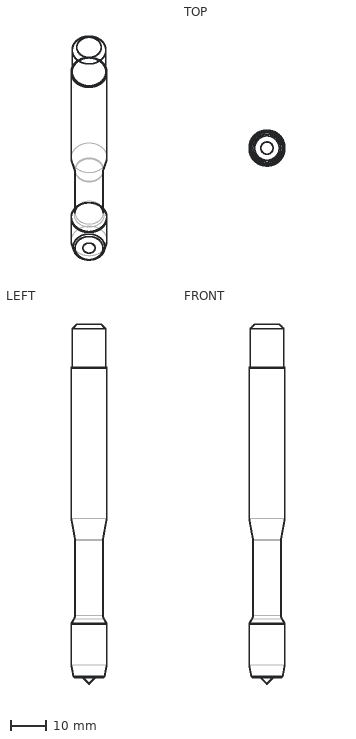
import math

import cadquery as cq

total_length = 101.6
tool_diameter = 10.2
drive_diameter = 9.6
neck_diameter = 7.9

point_base_height = 1.7
end_chamfer_top = 2.2
lead_taper_top = 5.4
shoulder_height = 17.2
shank_bottom = 46.8
shank_top = 89.5

drive_chamfer = 1.3
edge_chamfer_height = 0.3
edge_diameter = 10.0
lead_taper_diameter = 8.9
end_face_diameter = 7.9
point_diameter = 2 * point_base_height

shoulder_cone_angle = 30.0
shank_cone_angle = 10.5
neck_fillet = 2.0


def make_cutting_head():
    """Cylindrical thread portion with a tapered lead and a centre point."""
    return (
        cq.Workplane("XZ")
        .lineTo(point_diameter / 2, point_base_height)
        .lineTo(end_face_diameter / 2, point_base_height)
        .lineTo(lead_taper_diameter / 2, end_chamfer_top)
        .lineTo(tool_diameter / 2, lead_taper_top)
        .lineTo(tool_diameter / 2, shoulder_height - edge_chamfer_height)
        .lineTo(edge_diameter / 2, shoulder_height)
        .lineTo(0, shoulder_height)
        .close()
        .revolve(360, (0, 0), (0, 1))
    )


def neck_fillet_points(cone_diameter, cone_height, half_angle, toward_neck):
    """Start on the cone, midpoint, and end on the neck of the fillet between them.

    The cone has cone_diameter at cone_height; toward_neck is +1 when the neck
    lies above the cone and -1 when it lies below.
    """
    angle = math.radians(half_angle)
    cone_length = (cone_diameter - neck_diameter) / 2 / math.tan(angle)
    corner_height = cone_height + toward_neck * cone_length
    center_radius = neck_diameter / 2 + neck_fillet
    center_height = corner_height + toward_neck * neck_fillet * math.tan(angle / 2)

    def arc_point(turn):
        return (
            center_radius - neck_fillet * math.cos(turn),
            center_height - toward_neck * neck_fillet * math.sin(turn),
        )

    return arc_point(angle), arc_point(angle / 2), arc_point(0)


def make_shank():
    """Filleted neck between two cones, cylindrical shank, and chamfered drive end."""
    foot_start, foot_middle, foot_end = neck_fillet_points(
        edge_diameter, shoulder_height, shoulder_cone_angle, 1
    )
    top_end, top_middle, top_start = neck_fillet_points(
        tool_diameter, shank_bottom, shank_cone_angle, -1
    )
    return (
        cq.Workplane("XZ")
        .moveTo(0, shoulder_height)
        .lineTo(edge_diameter / 2, shoulder_height)
        .lineTo(*foot_start)
        .threePointArc(foot_middle, foot_end)
        .lineTo(*top_start)
        .threePointArc(top_middle, top_end)
        .lineTo(tool_diameter / 2, shank_bottom)
        .lineTo(tool_diameter / 2, shank_top - edge_chamfer_height)
        .lineTo(edge_diameter / 2, shank_top)
        .lineTo(drive_diameter / 2, shank_top)
        .lineTo(drive_diameter / 2, total_length - drive_chamfer)
        .lineTo(drive_diameter / 2 - drive_chamfer, total_length)
        .lineTo(0, total_length)
        .close()
        .revolve(360, (0, 0), (0, 1))
    )


cutting_head = make_cutting_head()
shank = make_shank()
result = cq.Compound.makeCompound([cutting_head.val(), shank.val()])